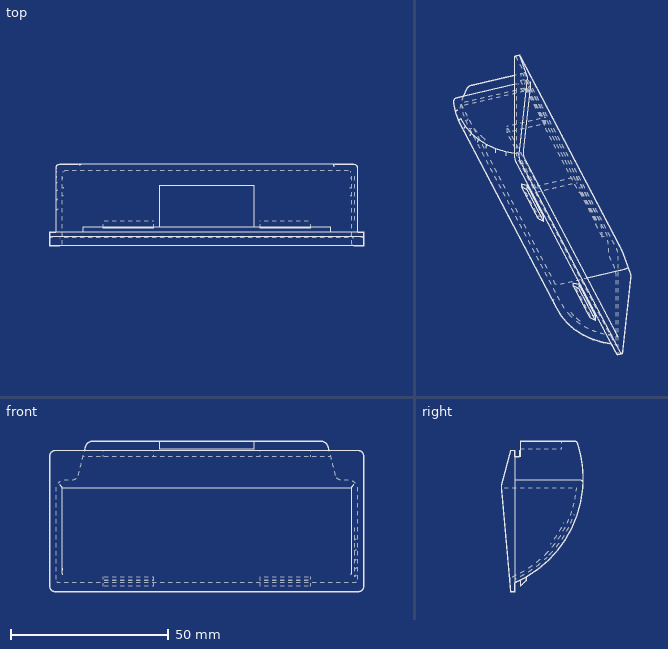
import cadquery as cq


PLATE_WIDTH = 100.0
PLATE_HEIGHT = 45.0
PLATE_EDGE = 1.4
RIDGE_THICKNESS = 4.4
RIDGE_Z = 33.7
RIDGE_RADIUS = 4.0
PLATE_CORNER_RADIUS = 1.8

SELECT_MARGIN = 0.1

WALL = 2.0
TRAY_DEPTH = 21.7
BACK_RADIUS = 36.1
BACK_CENTER_Y = TRAY_DEPTH - BACK_RADIUS
BACK_CENTER_Z = 36.0
TRAY_HALF_WIDTH = 48.0
SHOULDER_Z = 35.6
SHOULDER_RADIUS = 3.0
BACK_EDGE_RADIUS = 1.0

BLOCK_TOP_Z = 48.0
BLOCK_FOOT_HALF_WIDTH = 41.3
BLOCK_TOP_HALF_WIDTH = 38.2
BLOCK_FOOT_RADIUS = 2.0
BLOCK_TOP_RADIUS = 2.6

GROOVE_WIDTH = 1.7
GROOVE_FLOOR_Z = PLATE_HEIGHT - WALL

RECESS_WIDTH = 30.0
RECESS_LENGTH = 13.1
RECESS_DEPTH = 2.6

CAVITY_HALF_WIDTH = TRAY_HALF_WIDTH - WALL
CAVITY_TOP_Z = 33.1
CAVITY_BACK_RADIUS = BACK_RADIUS - WALL
CAVITY_EDGE_RADIUS = 1.0
OPENING_RADIUS = 1.0

GRIP_X = 25.0
GRIP_WIDTH = 16.0
PAD_THICKNESS = 0.3
PAD_HEIGHT = 1.9
HOOK_LENGTH = 1.9
HOOK_TIP_Z = 1.8
HOOK_HEEL_Z = 3.6
HOOK_ROOT_Z = 5.5


def box(x_range, y_range, z_range):
    """Axis-aligned box spanning the given ranges."""
    ranges = (x_range, y_range, z_range)
    size = [high - low for low, high in ranges]
    corner = [low for low, high in ranges]
    return cq.Workplane("XY").box(*size, centered=False).translate(tuple(corner))


def extrude_along_x(points, width):
    """Solid with a (Y, Z) outline, centred on X = 0."""
    return cq.Workplane("YZ").polyline(points).close().extrude(width / 2, both=True)


def back_cylinder(radius, half_width):
    """Cylinder along X that gives the tray its curved back."""
    return (
        cq.Workplane("YZ")
        .center(BACK_CENTER_Y, BACK_CENTER_Z)
        .circle(radius)
        .extrude(half_width, both=True)
    )


def edges_along_y(body, half_width, z):
    """Left and right edges parallel to Y that pass through (+-half_width, z)."""
    selector = None
    for side in (-1, 1):
        x = side * half_width
        near = cq.selectors.BoxSelector(
            (x - SELECT_MARGIN, -PLATE_WIDTH, z - SELECT_MARGIN),
            (x + SELECT_MARGIN, PLATE_WIDTH, z + SELECT_MARGIN),
        )
        selector = near if selector is None else selector + near
    return body.edges("|Y").edges(selector)


def make_plate():
    profile = [
        (0, 0),
        (-PLATE_EDGE, 0),
        (-RIDGE_THICKNESS, RIDGE_Z),
        (-PLATE_EDGE, PLATE_HEIGHT),
        (0, PLATE_HEIGHT),
    ]
    ridged = extrude_along_x(profile, PLATE_WIDTH).edges("|X").edges("<Y").fillet(RIDGE_RADIUS)
    half = PLATE_WIDTH / 2
    outline = box((-half, half), (-RIDGE_THICKNESS, 0), (0, PLATE_HEIGHT))
    return ridged.intersect(outline.edges("|Y").fillet(PLATE_CORNER_RADIUS))


def make_tray():
    right_side = [
        (TRAY_HALF_WIDTH, 0),
        (TRAY_HALF_WIDTH, SHOULDER_Z),
        (BLOCK_FOOT_HALF_WIDTH, SHOULDER_Z),
        (BLOCK_TOP_HALF_WIDTH, BLOCK_TOP_Z),
    ]
    left_side = [(-x, z) for x, z in reversed(right_side)]
    tray = cq.Workplane("XZ").polyline(right_side + left_side).close().extrude(-2 * TRAY_DEPTH)
    for half_width, z, radius in (
        (TRAY_HALF_WIDTH, SHOULDER_Z, SHOULDER_RADIUS),
        (BLOCK_FOOT_HALF_WIDTH, SHOULDER_Z, BLOCK_FOOT_RADIUS),
        (BLOCK_TOP_HALF_WIDTH, BLOCK_TOP_Z, BLOCK_TOP_RADIUS),
    ):
        tray = edges_along_y(tray, half_width, z).fillet(radius)
    tray = tray.intersect(back_cylinder(BACK_RADIUS, PLATE_WIDTH))

    back_face = tray.faces("%CYLINDER").faces(">Y")
    return back_face.edges("not <Y").fillet(BACK_EDGE_RADIUS)


def cut_groove(tray):
    return tray.cut(
        box((-PLATE_WIDTH, PLATE_WIDTH), (0, GROOVE_WIDTH), (GROOVE_FLOOR_Z, BLOCK_TOP_Z))
    )


def cut_recess(tray):
    half = RECESS_WIDTH / 2
    return tray.cut(
        box(
            (-half, half),
            (GROOVE_WIDTH, GROOVE_WIDTH + RECESS_LENGTH),
            (BLOCK_TOP_Z - RECESS_DEPTH, BLOCK_TOP_Z),
        )
    )


def make_pad():
    return box(
        (-GRIP_WIDTH / 2, GRIP_WIDTH / 2),
        (GROOVE_WIDTH - PAD_THICKNESS, GROOVE_WIDTH),
        (GROOVE_FLOOR_Z, GROOVE_FLOOR_Z + PAD_HEIGHT),
    )


def make_hook():
    """Wedge under the curved back, reaching up into the tray wall."""
    heel_y = GROOVE_WIDTH + HOOK_LENGTH
    profile = [
        (GROOVE_WIDTH, HOOK_TIP_Z),
        (heel_y, HOOK_HEEL_Z),
        (heel_y, HOOK_ROOT_Z),
        (GROOVE_WIDTH, HOOK_ROOT_Z),
    ]
    return extrude_along_x(profile, GRIP_WIDTH)


def make_cavity():
    space = box((-CAVITY_HALF_WIDTH, CAVITY_HALF_WIDTH), (-TRAY_DEPTH, TRAY_DEPTH), (0, CAVITY_TOP_Z))
    cavity = space.intersect(back_cylinder(CAVITY_BACK_RADIUS, PLATE_WIDTH))
    return cavity.faces("<X or >X").edges("%CIRCLE").fillet(CAVITY_EDGE_RADIUS)


def round_opening(body):
    """Round the front rim of the cavity, where it breaks through the plate."""
    reach = CAVITY_HALF_WIDTH + SELECT_MARGIN
    rim_zone = cq.selectors.BoxSelector(
        (-reach, -PLATE_WIDTH, PLATE_CORNER_RADIUS),
        (reach, -PLATE_EDGE - SELECT_MARGIN, CAVITY_TOP_Z + SELECT_MARGIN),
        boundingbox=True,
    )
    return body.edges(rim_zone).fillet(OPENING_RADIUS)


tray = cut_recess(cut_groove(make_tray()))
body = make_plate().union(tray).cut(make_cavity())
body = round_opening(body)
for side in (-1, 1):
    for grip in (make_pad(), make_hook()):
        body = body.union(grip.translate((side * GRIP_X, 0, 0)))
result = body.solids()